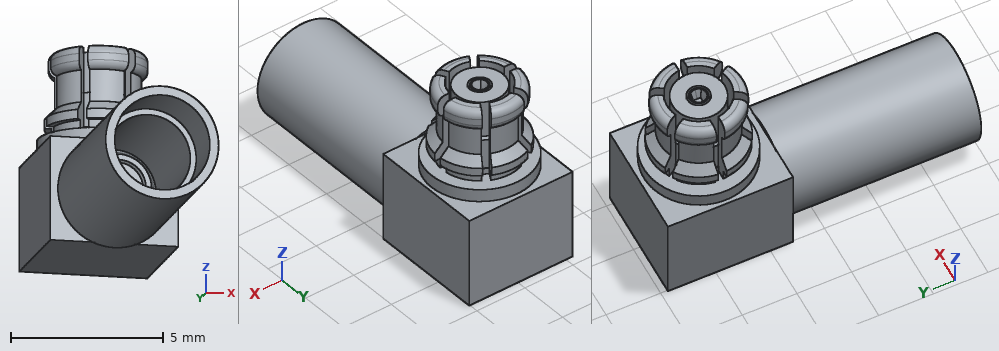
import cadquery as cq
import math

overall_length = 11.6

block_width = 4.3
block_length = 4.58
block_back = 2.19
block_height = 3.5
tube_length = overall_length - block_length
tube_radius = 1.9
block_top = block_height / 2
block_front = block_back - block_length
tube_end = block_front - tube_length

tube_bore_radius = 1.6
tube_bore_depth = 2.0
inner_bore_radius = 1.4
post_shoulder_radius = 1.29
post_tip_radius = 1.09
post_taper_length = 0.17
post_chamfer_length = 0.52
post_hole_radius = 0.9
post_hole_floor_radius = 0.84
post_hole_depth = 0.12

flange_radius = 2.01
flange_top = 2.24
neck_radius = 1.53
ring_radius = 1.76
ring_bottom = 2.62
ring_top = 2.93
body_radius = 1.43
body_bottom = 3.26
head_radius = 1.64
head_fillet = 0.29
collar_top = 5.15
head_upper_arc_start = collar_top - head_fillet
head_lower_arc_top = 4.62
collar_bore_radius = 1.15
slot_count = 6
slot_width = 0.3

core_base_radius = 1.17
core_base_top = 2.47
core_shoulder_top = 3.63
insulator_radius = 0.95
insulator_recess = 0.1
insulator_top = collar_top - insulator_recess
contact_recess_radius = 0.41
contact_recess_depth = 0.46
contact_tip_radius = 0.32
socket_mouth_radius = 0.28
socket_floor_width = 0.27
socket_depth = 0.35


def disc(radius, bottom, top):
    """Solid cylinder on the mating axis between two heights."""
    return cq.Workplane("XY").workplane(offset=bottom).circle(radius).extrude(top - bottom)


def cable_cylinder(radius, start, length):
    """Solid cylinder on the cable axis, running towards +Y from start."""
    return cq.Workplane("XZ", origin=(0, start, 0)).circle(radius).extrude(-length)


def make_housing():
    """Block with the flange on top and the bored crimp tube in front."""
    block = cq.Workplane("XY").box(block_width, block_length, block_height)
    block = block.translate((0, (block_back + block_front) / 2, 0))
    tube = cable_cylinder(tube_radius, tube_end, tube_length)
    flange = disc(flange_radius, block_top, flange_top)
    wide_bore = cable_cylinder(tube_bore_radius, tube_end, tube_bore_depth)
    inner_bore = cable_cylinder(inner_bore_radius, tube_end, tube_length)
    return block.union(tube).union(flange).cut(wide_bore).cut(inner_bore)


def make_cable_post():
    """Ring-shaped post with a tapered outside, a chamfered tip and a blind tapered hole."""
    shoulder_y = block_front - post_taper_length
    tip_y = shoulder_y - post_chamfer_length
    profile = (
        cq.Workplane("XY")
        .moveTo(0, block_front)
        .lineTo(inner_bore_radius, block_front)
        .lineTo(post_shoulder_radius, shoulder_y)
        .lineTo(post_tip_radius, tip_y)
        .lineTo(post_hole_radius, tip_y)
        .lineTo(post_hole_floor_radius, tip_y + post_hole_depth)
        .lineTo(0, tip_y + post_hole_depth)
        .close()
    )
    return profile.revolve(360, (0, 0, 0), (0, 1, 0))


def make_collar():
    """Turned collar, bored and split into fingers by radial slots."""
    arc_center_radius = head_radius - head_fillet
    lower_arc_rise = math.sqrt(head_fillet**2 - (body_radius - arc_center_radius) ** 2)
    arc_mid_offset = head_fillet * math.sqrt(0.5)
    profile = (
        cq.Workplane("XZ")
        .moveTo(collar_bore_radius, flange_top)
        .lineTo(neck_radius, flange_top)
        .lineTo(neck_radius, ring_bottom)
        .lineTo(ring_radius, ring_bottom)
        .lineTo(ring_radius, ring_top)
        .lineTo(body_radius, body_bottom)
        .lineTo(body_radius, head_lower_arc_top - lower_arc_rise)
        .radiusArc((head_radius, head_lower_arc_top), -head_fillet)
        .lineTo(head_radius, head_upper_arc_start)
        .threePointArc(
            (arc_center_radius + arc_mid_offset, head_upper_arc_start + arc_mid_offset),
            (arc_center_radius, collar_top),
        )
        .lineTo(collar_bore_radius, collar_top)
        .close()
    )
    collar = profile.revolve(360, (0, 0, 0), (0, 1, 0))
    slot_height = collar_top - flange_top
    slot = cq.Workplane("XY").box(flange_radius, slot_width, slot_height, centered=(False, True, False))
    slot = slot.translate((0, 0, flange_top))
    for index in range(slot_count):
        angle = index * 360 / slot_count
        collar = collar.cut(slot.rotate((0, 0, 0), (0, 0, 1), angle))
    return collar


def make_core():
    """Stepped insulator with a tapered contact in a recess and a round-to-square socket."""
    core = disc(core_base_radius, flange_top, core_base_top)
    core = core.union(disc(collar_bore_radius, core_base_top, core_shoulder_top))
    core = core.union(disc(insulator_radius, core_shoulder_top, insulator_top))
    recess_floor = insulator_top - contact_recess_depth
    core = core.cut(disc(contact_recess_radius, recess_floor, insulator_top))
    contact = (
        cq.Workplane("XY")
        .workplane(offset=recess_floor)
        .circle(contact_recess_radius)
        .workplane(offset=contact_recess_depth)
        .circle(contact_tip_radius)
        .loft()
    )
    socket = (
        cq.Workplane("XY")
        .workplane(offset=insulator_top - socket_depth)
        .rect(socket_floor_width, socket_floor_width)
        .workplane(offset=socket_depth)
        .circle(socket_mouth_radius)
        .loft()
    )
    return core.union(contact).cut(socket)


result = make_housing().union(make_cable_post()).union(make_collar()).union(make_core())